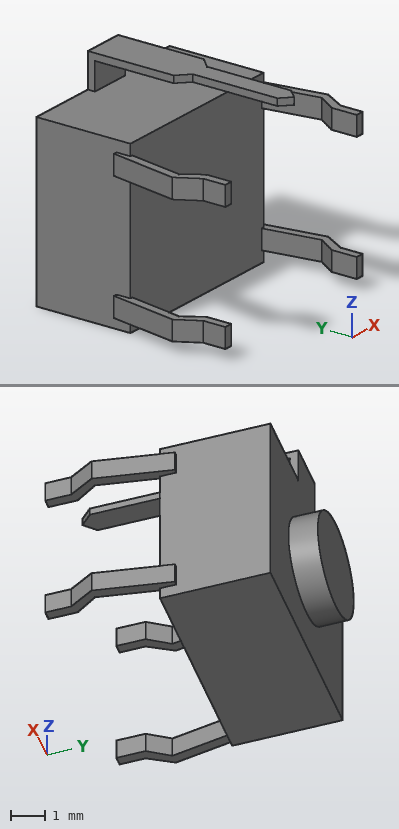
import cadquery as cq

body_width = 6.6
body_depth = 3.4
body_height = 6.0

button_diameter = 3.3
button_height = 0.9

pin_protrusion = 3.5
pin_tip_y = -(body_depth + pin_protrusion)
pin_width = 0.7

lead_pitch = 4.5
lead_length = 4.0
lead_span = 7.7
lead_thickness = 0.3
lead_slant_thickness = 0.31
lead_foot_x = 3.4
lead_root_x = 3.43
lead_bend_rise = 1.58
foot_outer_length = 0.8
foot_inner_length = 0.9

tab_width = 1.5
tab_rise = 1.22
tab_thickness = 0.25
tab_upright_depth = 0.26
tab_shoulder_y = -3.1
tab_taper = (tab_width - pin_width) / 2
tab_point = pin_width / 2


def make_body():
    return cq.Workplane("XY").box(body_width, body_depth, body_height).translate((0, -body_depth / 2, 0))


def make_button():
    return cq.Workplane("XZ").circle(button_diameter / 2).extrude(-button_height)


def make_lead(side, z_centre):
    """Bent lead on the +X (side = 1) or -X (side = -1) face."""
    bend_x = lead_span / 2
    root_y = pin_tip_y + lead_length
    bend_y = pin_tip_y + lead_bend_rise
    outline = [
        (lead_root_x, root_y),
        (bend_x, bend_y),
        (lead_foot_x, pin_tip_y + foot_outer_length),
        (lead_foot_x, pin_tip_y),
        (lead_foot_x - lead_thickness, pin_tip_y),
        (lead_foot_x - lead_thickness, pin_tip_y + foot_inner_length),
        (bend_x - lead_slant_thickness, bend_y),
        (lead_root_x - lead_slant_thickness, root_y),
    ]
    return (
        cq.Workplane("XY")
        .workplane(offset=z_centre - pin_width / 2)
        .polyline([(side * x, y) for x, y in outline])
        .close()
        .extrude(pin_width)
    )


def make_ground_tab():
    """Upright strip at the button face, bent back into a pointed pin."""
    tab_top = body_height / 2 + tab_rise
    half_tab = tab_width / 2
    half_pin = pin_width / 2
    outline = [
        (-half_tab, 0),
        (-half_tab, tab_shoulder_y),
        (-half_pin, tab_shoulder_y - tab_taper),
        (-half_pin, pin_tip_y + tab_point),
        (0, pin_tip_y),
        (half_pin, pin_tip_y + tab_point),
        (half_pin, tab_shoulder_y - tab_taper),
        (half_tab, tab_shoulder_y),
        (half_tab, 0),
    ]
    blade = (
        cq.Workplane("XY")
        .workplane(offset=tab_top - tab_thickness)
        .polyline(outline)
        .close()
        .extrude(tab_thickness)
    )
    upright = (
        cq.Workplane("XY")
        .workplane(offset=body_height / 2)
        .center(0, -tab_upright_depth / 2)
        .rect(tab_width, tab_upright_depth)
        .extrude(tab_rise)
    )
    return blade.union(upright)


result = make_body().union(make_button()).union(make_ground_tab())
for lead_side in (-1, 1):
    for lead_z in (-lead_pitch / 2, lead_pitch / 2):
        result = result.union(make_lead(lead_side, lead_z))